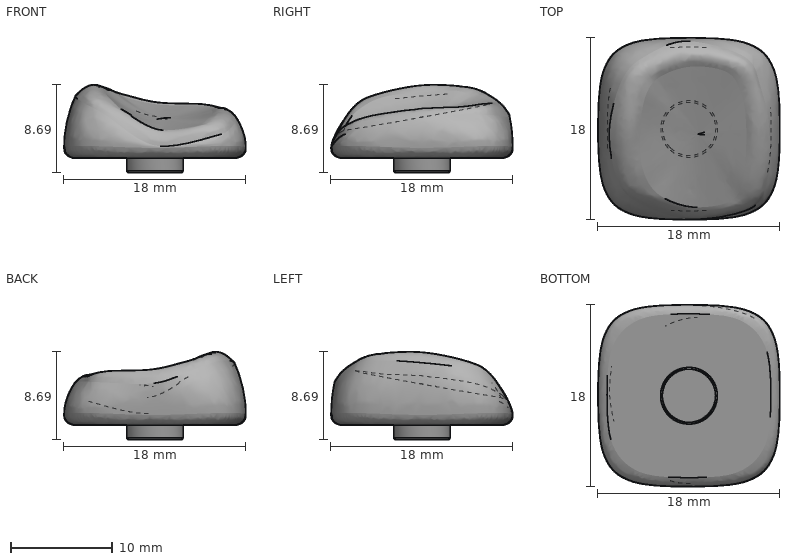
import cadquery as cq

shapes = cq.occ_impl.shapes

half_width = 8.98
corner_far = 8.41
corner_near = 5.79
waist_side_height = 0.99
waist_corner_height = 1.17
foot_inset = 0.9
roll_inset = 0.23
roll_height = 0.36

post_diameter = 5.6
post_length = 1.45
post_chamfer = 0.18
post_overlap = 0.36

shoulder_points = [
    (7.95, 0, 4.13), (7.12, 3.95, 4.31), (5.57, 7.05, 4.22),
    (0, 8.65, 4.13), (-3.95, 7.37, 5.53), (-6.5, 5.01, 6.36),
    (-7.85, 0, 6.15), (-7.12, -4.85, 5.5), (-5.03, -7.26, 4.35),
    (0, -8.91, 1.24), (6.11, -7.85, 2.23), (7.78, -4.76, 3.32),
]
crest_points = [
    (6.83, 0, 4.85), (6.38, 3.95, 5.0), (4.85, 6.47, 5.25),
    (0.18, 7.51, 5.39), (-3.41, 6.29, 6.33), (-5.57, 4.5, 7),
    (-6.2, 0, 7.19), (-6.11, -4.67, 6.24), (-4.5, -6.7, 5.01),
    (0.18, -8.48, 2.23), (5.3, -7.67, 3.1), (6.74, -5.03, 4.1),
]
dish_rim_points = [
    (5.66, 0, 4.62), (5.23, 3.29, 4.89), (3.83, 5.53, 5.18),
    (0.36, 6.15, 5.27), (-2.77, 5.18, 5.93), (-4.22, 3.38, 6.65),
    (-4.8, 0, 6.47), (-4.58, -3.88, 6.0), (-3.02, -6.47, 4.6),
    (0.35, -7.73, 2.8), (4.13, -7.12, 3.2), (5.39, -4.76, 4.05),
]
dish_centre = (0.9, -0.54, 3.95)
dish_slope = 0.18


def ring(points):
    """Closed smooth curve; each tangent runs parallel to the line joining the two neighbours."""
    vectors = [cq.Vector(*point) for point in points]
    following = vectors[1:] + vectors[:1]
    preceding = vectors[-1:] + vectors[:-1]
    tangents = [(after - before) / 2 for after, before in zip(following, preceding)]
    parameters = list(range(len(points) + 1))
    return cq.Edge.makeSpline(vectors, tangents, periodic=True, parameters=parameters, scale=False)


def rounded_square(inset, side_height, corner_height):
    """Points of the cap's plan shape, drawn in by an inset."""
    side = half_width - inset
    far = corner_far - inset
    near = corner_near - inset
    quarter = [(side, 0, side_height), (far, near, corner_height), (near, far, corner_height)]
    points = []
    for _ in range(4):
        points += quarter
        quarter = [(-y, x, z) for x, y, z in quarter]
    return points


def wall_middle(lower, upper):
    """Points halfway up a wall that leaves the lower ring vertically and curves inwards."""
    return [
        (x0 + (x1 - x0) / 4, y0 + (y1 - y0) / 4, (z0 + z1) / 2)
        for (x0, y0, z0), (x1, y1, z1) in zip(lower, upper)
    ]


def dish_middle(rim_points):
    """Points halfway from the dish centre to its rim, on parabolas that start on the sloped floor."""
    x0, y0, z0 = dish_centre
    points = []
    for x1, y1, z1 in rim_points:
        floor_rise = dish_slope * (y1 - y0)
        curl = z1 - z0 - floor_rise
        points.append(((x0 + x1) / 2, (y0 + y1) / 2, z0 + floor_rise / 2 + curl / 4))
    return points


def make_cap():
    waist_points = rounded_square(0, waist_side_height, waist_corner_height)
    foot = ring(rounded_square(foot_inset, 0, 0))
    roll = ring(rounded_square(roll_inset, roll_height, roll_height))
    waist = ring(waist_points)
    wall = ring(wall_middle(waist_points, shoulder_points))
    shoulder = ring(shoulder_points)
    crest = ring(crest_points)
    dish_rim = ring(dish_rim_points)

    underside = cq.Face.makeFromWires(cq.Wire.assembleEdges([foot]))
    lower_edge = shapes.loft(foot, roll, waist)
    side_wall = shapes.loft(waist, wall, shoulder)
    rolled_top = shapes.loft(shoulder, crest, dish_rim)
    dish = shapes.loft(dish_rim, ring(dish_middle(dish_rim_points)), cq.Vertex.makeVertex(*dish_centre))
    return shapes.solid(shapes.shell(underside, lower_edge, side_wall, rolled_top, dish, tol=0.01))


def make_post():
    return (
        cq.Workplane("XY")
        .workplane(offset=-post_length)
        .circle(post_diameter / 2)
        .extrude(post_length + post_overlap)
        .faces("<Z")
        .chamfer(post_chamfer)
    )


result = make_post().union(cq.Workplane(make_cap())).solids()